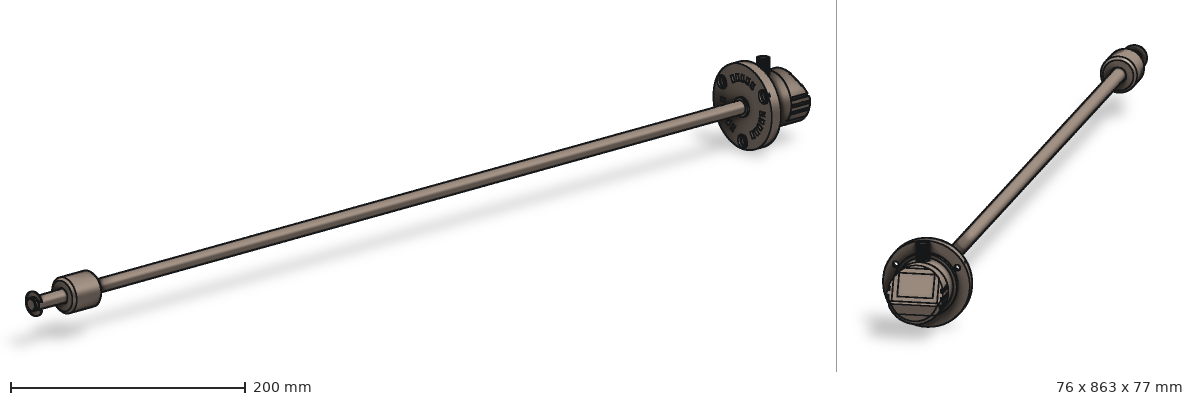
import cadquery as cq
import math


overall_length = 863.0
head_back = 59.0
rod_end = head_back - overall_length

flange_diameter = 76.0
flange_thickness = 10.0
base_diameter = 55.0
base_back = 15.5
body_diameter = 49.0
back_edge_chamfer = 3.5
hub_diameter = 17.0
hub_length = 2.0
rod_socket_depth = 17.0

slot_inner_radius = 22.5
slot_outer_radius = 28.5
slot_width = 3.5
slot_depth = 5.0
slot_step_angle = 15
slots_each_side = 2

screw_count = 3
first_screw_angle = 30
screw_step_angle = 360 / screw_count
screw_circle_radius = 31.0
screw_hole_diameter = 5.0
screw_seat_diameter = 9.5
screw_seat_depth = 5.0
screw_recess_diameter = 12.0
screw_recess_depth = 3.0

lid_front = 34.0
lid_bottom = -15.5
slope_start_z = -7.0
slope_top_y = 45.0
panel_recess_count = 2
panel_width = 40.0
panel_margin = 3.0
panel_inset = 4.0
panel_step_depth = 1.0
grip_count = 3
grip_top_z = 5.0
grip_pitch = 6.5
grip_front_gap = 2.0
grip_groove_width = 3.0
grip_groove_depth = 2.0

connector_y = 23.0
connector_top = 39.0
connector_seat = 21.0
connector_diameter = 11.0
thread_root_diameter = 10.0
thread_pitch = 3.0
thread_count = 5
connector_bore_diameter = 8.0
connector_bore_depth = 8.0
pin_diameter = 0.8
pin_circle_radius = 3.0
pin_length = 6.0
pin_count = 4
first_pin_angle = 45

rod_diameter = 12.0
rod_tip_chamfer = 1.0
clip_groove_diameter = 9.5

float_diameter = 32.0
float_back = -736.0
float_length = 33.0
float_bore = 14.0
float_chamfer = 3.0

clip_diameter = 22.0
clip_thickness = 1.0
clip_back = -800.0
clip_slot_width = 8.0


def cylinder(diameter, start_y, end_y):
    """A cylinder on the Y axis between two Y positions."""
    return cq.Workplane("XZ", origin=(0, start_y, 0)).circle(diameter / 2).extrude(start_y - end_y)


def block(x0, x1, y0, y1, z0, z1):
    """An axis-aligned box between the given limits."""
    return cq.Workplane("XY").box(x1 - x0, y1 - y0, z1 - z0, centered=False).translate((x0, y0, z0))


def about_axis(shape, angle):
    """Turns a shape lying on +X about the Y axis, anticlockwise from the front."""
    return shape.rotate((0, 0, 0), (0, 1, 0), -angle)


def flange_slot():
    """One radial slot in the flange front, centred on +X."""
    half_width = slot_width / 2
    return block(slot_inner_radius, slot_outer_radius, 0, slot_depth, -half_width, half_width)


def screw_opening():
    """A twice-stepped screw hole through the flange, centred on +X."""
    hole = cylinder(screw_hole_diameter, 0, flange_thickness)
    hole = hole.union(cylinder(screw_seat_diameter, 0, screw_seat_depth))
    hole = hole.union(cylinder(screw_recess_diameter, 0, screw_recess_depth))
    return hole.translate((screw_circle_radius, 0, 0))


def head_body():
    """The full round head behind the base ring, shared by the housing and the lid."""
    return cylinder(body_diameter, base_back, head_back).faces(">Y").chamfer(back_edge_chamfer)


def lid_space():
    """The back upper part of the head, taken by the lid."""
    radius = body_diameter / 2
    return block(-radius, radius, lid_front, head_back, lid_bottom, radius)


def connector_blank():
    """The plain outer cylinder of the connector, also used to cut its seat in the housing."""
    return (
        cq.Workplane("XY", origin=(0, connector_y, connector_seat))
        .circle(connector_diameter / 2)
        .extrude(connector_top - connector_seat)
    )


def make_housing():
    """Flange, base ring, body and hub, with every seat cut in."""
    housing = cylinder(flange_diameter, 0, flange_thickness)
    housing = housing.union(cylinder(base_diameter, flange_thickness, base_back))
    housing = housing.union(head_body().cut(lid_space()))
    housing = housing.union(cylinder(hub_diameter, -hub_length, 0))
    for screw in range(screw_count):
        screw_angle = first_screw_angle + screw * screw_step_angle
        housing = housing.cut(about_axis(screw_opening(), screw_angle))
        group_angle = screw_angle + screw_step_angle / 2
        for step in range(-slots_each_side, slots_each_side + 1):
            housing = housing.cut(about_axis(flange_slot(), group_angle + step * slot_step_angle))
    housing = housing.cut(cylinder(rod_diameter, -hub_length, rod_socket_depth - hub_length))
    return housing.cut(connector_blank())


def make_lid():
    """Back of the head with a stepped display panel and grip grooves on both sides."""
    radius = body_diameter / 2
    profile = (
        cq.Workplane("YZ", origin=(-radius, 0, 0))
        .polyline([
            (lid_front, lid_bottom),
            (head_back, lid_bottom),
            (head_back, slope_start_z),
            (slope_top_y, radius),
            (lid_front, radius),
        ])
        .close()
        .extrude(body_diameter)
    )
    lid = head_body().intersect(profile)

    slope_y = slope_top_y - head_back
    slope_z = radius - slope_start_z
    slope_length = math.hypot(slope_y, slope_z)
    panel_plane = cq.Plane(
        origin=(0, (head_back + slope_top_y) / 2, (slope_start_z + radius) / 2),
        xDir=(1, 0, 0),
        normal=(0, slope_z, -slope_y),
    )
    for step in range(panel_recess_count):
        inset = 2 * step * panel_inset
        recess = (
            cq.Workplane(panel_plane)
            .rect(panel_width - inset, slope_length - 2 * panel_margin - inset)
            .extrude(-(step + 1) * panel_step_depth)
        )
        lid = lid.cut(recess)

    for groove in range(grip_count):
        z = grip_top_z - groove * grip_pitch
        wall_x = math.sqrt(radius**2 - z**2)
        low = z - grip_groove_width / 2
        high = z + grip_groove_width / 2
        inner = wall_x - grip_groove_depth
        for x0, x1 in [(inner, radius), (-radius, -inner)]:
            lid = lid.cut(block(x0, x1, lid_front + grip_front_gap, head_back, low, high))
    return lid


def make_connector():
    """Upright threaded socket with contact pins standing in its bore."""
    connector = connector_blank()
    for turn in range(thread_count):
        groove = (
            cq.Workplane("XY", origin=(0, connector_y, connector_top - (turn + 1) * thread_pitch))
            .circle(connector_diameter / 2)
            .circle(thread_root_diameter / 2)
            .extrude(thread_pitch / 2)
        )
        connector = connector.cut(groove)
    floor_z = connector_top - connector_bore_depth
    bore = (
        cq.Workplane("XY", origin=(0, connector_y, floor_z))
        .circle(connector_bore_diameter / 2)
        .extrude(connector_bore_depth)
    )
    pins = (
        cq.Workplane("XY", origin=(0, connector_y, floor_z))
        .polarArray(pin_circle_radius, first_pin_angle, 360, pin_count)
        .circle(pin_diameter / 2)
        .extrude(pin_length)
    )
    return connector.cut(bore.cut(pins))


def make_rod():
    """Guide rod with a groove for the retaining clip near its tip."""
    rod = cylinder(rod_diameter, rod_end, rod_socket_depth - hub_length)
    rod = rod.faces("<Y").chamfer(rod_tip_chamfer)
    groove = cylinder(rod_diameter, clip_back - clip_thickness, clip_back).cut(
        cylinder(clip_groove_diameter, clip_back - clip_thickness, clip_back)
    )
    return rod.cut(groove)


def make_float():
    """Chamfered ring that slides on the rod."""
    body = cylinder(float_diameter, float_back - float_length, float_back)
    body = body.faces("<Y or >Y").chamfer(float_chamfer)
    return body.cut(cylinder(float_bore, float_back - float_length, float_back))


def make_clip():
    """Open ring in the rod groove, with its slot facing +X."""
    front = clip_back - clip_thickness
    clip = cylinder(clip_diameter, front, clip_back)
    clip = clip.cut(cylinder(clip_groove_diameter, front, clip_back))
    half = clip_slot_width / 2
    return clip.cut(block(0, clip_diameter, front, clip_back, -half, half))


housing = make_housing()
lid = make_lid()
connector = make_connector()
rod = make_rod()
level_float = make_float()
clip = make_clip()

result = cq.Compound.makeCompound([
    housing.solids().val(),
    lid.solids().val(),
    connector.solids().val(),
    rod.solids().val(),
    level_float.solids().val(),
    clip.solids().val(),
])